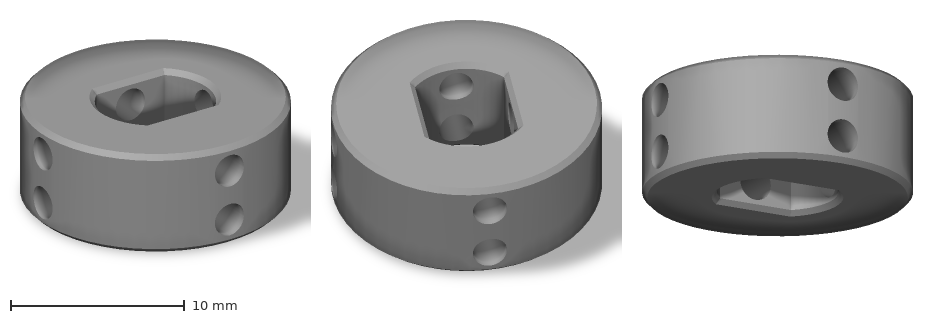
import cadquery as cq

outer_diameter = 15.62
height = 6.25
edge_chamfer = 0.3

bore_diameter = 7.0
width_across_flats = 5.2

cross_hole_diameter = 2.0
cross_hole_levels = (-height / 4, height / 4)


def cylinder(diameter):
    """Full-height upright cylinder centred on the origin."""
    return cq.Workplane("XY").cylinder(height, diameter / 2)


def make_body():
    """Disc with both rims chamfered, centred on the origin."""
    return cylinder(outer_diameter).faces("<Z or >Z").edges().chamfer(edge_chamfer)


def cut_bore(body):
    """Cut the double-flat bore through the body and chamfer both of its mouths."""
    flats = cq.Workplane("XY").box(width_across_flats, outer_diameter, height)
    bored = body.cut(cylinder(bore_diameter).intersect(flats))

    reach = (bore_diameter + outer_diameter) / 4
    near_bore = cq.selectors.BoxSelector(
        (-reach, -reach, -height), (reach, reach, height), boundingbox=True
    )
    mouth_edges = bored.faces("<Z or >Z").edges(near_bore)
    return mouth_edges.chamfer(edge_chamfer)


def cut_cross_holes(body):
    """Drill straight through the collar along X and along Y at each level."""
    for plane in ("XZ", "YZ"):
        for level in cross_hole_levels:
            drill = (
                cq.Workplane(plane)
                .center(0, level)
                .circle(cross_hole_diameter / 2)
                .extrude(outer_diameter, both=True)
            )
            body = body.cut(drill)
    return body


result = cut_cross_holes(cut_bore(make_body()))